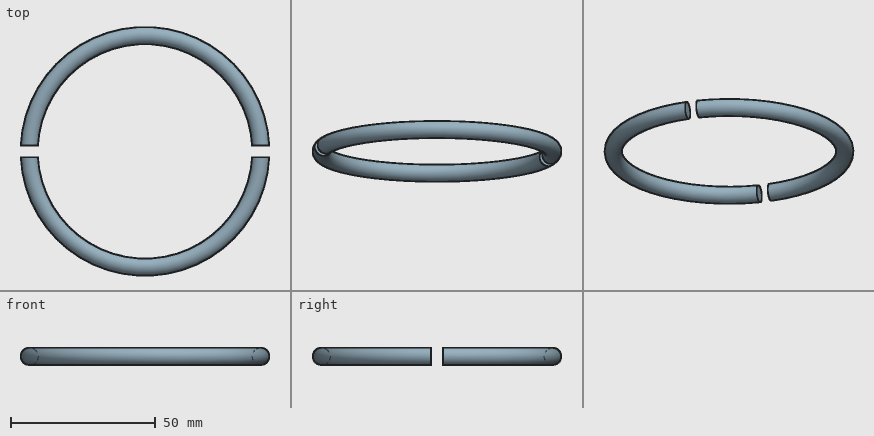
import cadquery as cq

outer_diameter = 86.0
bar_diameter = 6.0
end_gap = 4.0

bar_radius = bar_diameter / 2
centreline_radius = outer_diameter / 2 - bar_radius

block_width = 2 * outer_diameter
block_depth = outer_diameter
block_height = 2 * bar_diameter


def half_ring(side):
    """Half of the ring on the +Y (side = 1) or -Y (side = -1) side, with end faces parallel to XZ."""
    ring = cq.Workplane("XY").add(cq.Solid.makeTorus(centreline_radius, bar_radius))
    block_centre_y = side * (end_gap + block_depth) / 2
    block = cq.Workplane("XY").box(block_width, block_depth, block_height).translate((0, block_centre_y, 0))
    return ring.intersect(block).solids()


half_rings = [half_ring(side) for side in (1, -1)]

result = cq.Compound.makeCompound([half.val() for half in half_rings])